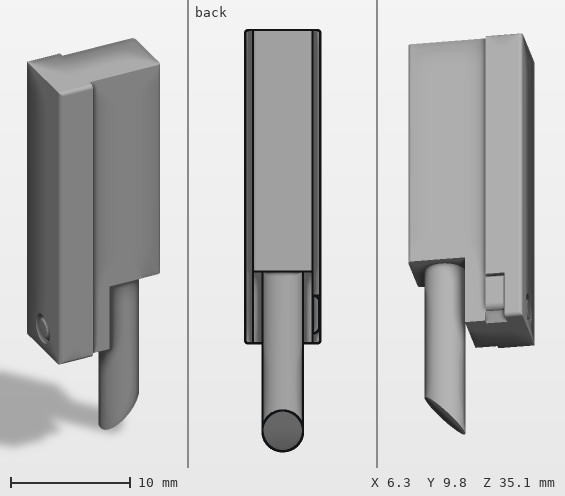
import cadquery as cq

total_height = 35.15
plate_width = 6.3
total_depth = 9.8

housing_height = 26.15
plate_depth = 3.1
block_width = 5.0
edge_radius = 0.3
leg_depth = 4.95
leg_height = 6.0

cable_diameter = 3.4
cable_center_y = 7.1

screw_hole_diameter = 2.6
screw_diameter = 2.5
screw_flat_diameter = 1.48
screw_height = 1.97

slot_front_y = 1.48
slot_back_y = 3.25
pad_gap = 0.1
pad_bottom = 0.85
pad_top = 4.0
pad_radius = 0.53
pad_setback = 0.1
floor_slope_run = 0.55

front_y = -total_depth / 2
plate_left_x = -plate_width / 2
housing_bottom = total_height - housing_height
screw_chamfer = (screw_diameter - screw_flat_diameter) / 2
slot_floor_x = plate_left_x + pad_setback + pad_radius


def box_between(x_range, y_range, z_range):
    """Box with Y measured back from the front face and Z up from the housing bottom."""
    size = [end - start for start, end in (x_range, y_range, z_range)]
    corner = (x_range[0], front_y + y_range[0], housing_bottom + z_range[0])
    return cq.Workplane("XY").box(*size, centered=False).translate(corner)


def centered_range(width):
    return -width / 2, width / 2


def make_housing():
    plate = box_between(centered_range(plate_width), (0, plate_depth), (0, housing_height))
    plate = plate.edges("(|Z and <Y) or (|Y and (<X or >X))").fillet(edge_radius)
    block = box_between(centered_range(block_width), (0, total_depth), (leg_height, housing_height))
    block = block.edges("|Z and >Y").fillet(edge_radius)
    leg = box_between(centered_range(block_width), (0, leg_depth), (0, leg_height))
    return plate.union(block).union(leg)


def make_cable():
    """Round cable whose end is cut at 45 degrees, longest towards the front."""
    radius = cable_diameter / 2
    center_y = front_y + cable_center_y
    top = housing_bottom + leg_height
    cable = cq.Workplane("XY").center(0, center_y).circle(radius).extrude(top)
    slant = [
        (center_y - radius, 0),
        (center_y + radius, 0),
        (center_y + radius, cable_diameter),
    ]
    waste = cq.Workplane("YZ").polyline(slant).close().extrude(radius, both=True)
    return cable.cut(waste)


def make_screw_groove():
    """Ring-shaped gap between the hole wall and the chamfered rim of the screw."""
    plane = cq.Plane(
        origin=(0, front_y, housing_bottom + screw_height), xDir=(1, 0, 0), normal=(0, -1, 0)
    )
    hole = cq.Workplane(plane).circle(screw_hole_diameter / 2).extrude(-screw_chamfer)
    screw = cq.Workplane(plane).circle(screw_diameter / 2).extrude(-2 * screw_chamfer)
    screw = screw.faces("<Y").edges().chamfer(screw_chamfer)
    return hole.cut(screw)


def make_slot():
    """Slot to the pad's base, with a floor that slopes inwards below the pad."""
    outline = [
        (plate_left_x, housing_bottom),
        (plate_left_x, housing_bottom + pad_top),
        (slot_floor_x, housing_bottom + pad_top),
        (slot_floor_x, housing_bottom + pad_bottom),
        (slot_floor_x + floor_slope_run, housing_bottom),
    ]
    slot = cq.Workplane("XZ", origin=(0, front_y + slot_front_y, 0))
    return slot.polyline(outline).close().extrude(slot_front_y - slot_back_y)


def make_pad():
    """Clamp pad with rounded upper and lower edges."""
    pad = box_between(
        (plate_left_x + pad_setback, slot_floor_x + pad_radius),
        (slot_front_y + pad_gap, slot_back_y - pad_gap),
        (pad_bottom, pad_top),
    )
    pad = pad.edges("|Y and <X").fillet(pad_radius)
    base = box_between(
        (slot_floor_x, slot_floor_x + pad_radius),
        (slot_front_y, slot_back_y),
        (pad_bottom, pad_top),
    )
    return pad.union(base)


housing = make_housing().cut(make_screw_groove()).cut(make_slot()).union(make_pad())
result = housing.union(make_cable())